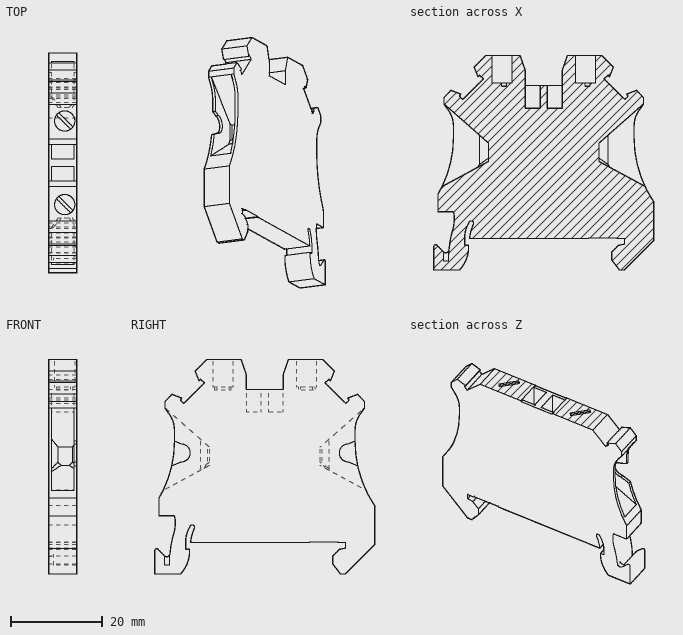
import cadquery as cq
import math

thickness = 6.15
height = 46.85
half_length = 24.0
base_z = 6.85

relief_inner_y = 9.75
relief_outer_y = 16.0
relief_depth = 0.15

tower_inner_y = 4.0
tower_bevel_y = 5.15
tower_bevel_z = 43.5
tower_outer_y = 12.65
saddle_z = 40.3

waist_y = 19.75
waist_low_z = 28.9
waist_high_z = 31.45
upper_radius = 6.0
upper_arc_top_z = 35.3
foot_shoulder_z = 14.95
hook_shoulder_y = 23.1
hook_shoulder_z = 16.6
hook_shoulder_base_z = 12.7

arm_root_y = 19.75
arm_root_z = 9.4
arm_foot_y = 20.85
hook_throat_start_z = 4.55
hook_throat_outer_y = 21.85
hook_throat_end_z = 4.0
hook_pocket_floor_z = 2.0
hook_wall = 1.05

wall = 0.65
funnel_x = 3.6
throat_y = 12.1
throat_half_width = 1.6
throat_low_z = 23.7
throat_high_z = 27.75
throat_chamfer = 0.7
flare_chamfer = 0.3
flare_length = 2.4
side_slope = 0.7
floor_slope = 0.54
roof_slope = 0.88

notch_z = 26.45
notch_y = 18.25
notch_radius = 1.95
notch_mouth_half = 2.6

screw_y = 9.1
screw_x = 3.5
screw_diameter = 4.4
screw_depth = 6.0
slot_width = 0.7
slot_depth = 0.7
slot_angle = -45

pocket_inner_y = 0.8
pocket_depth = 5.0


def arc_rise(radius, offset):
    """Distance an arc leaves its tangent line after running `offset` along it."""
    return radius - math.sqrt(radius**2 - offset**2)


def upper_outline(side, shoulder_y, shoulder_z):
    """Open outline from the base centre, over one tower, down to the end shoulder."""

    def at(y, z):
        return (side * y, z)

    upper_run = upper_arc_top_z - waist_high_z
    lower_rise = shoulder_y - waist_y
    lower_run = waist_low_z - shoulder_z
    lower_radius = (lower_rise**2 + lower_run**2) / (2 * lower_rise)
    return (
        cq.Workplane("YZ")
        .moveTo(0, base_z)
        .lineTo(0, saddle_z)
        .lineTo(*at(tower_inner_y, saddle_z))
        .lineTo(*at(tower_inner_y, tower_bevel_z))
        .lineTo(*at(tower_bevel_y, height))
        .lineTo(*at(tower_outer_y, height))
        .lineTo(*at(15.2, 44.3))
        .lineTo(*at(14.35, 42.15))
        .lineTo(*at(14.0, 42.5))
        .lineTo(*at(13.15, 41.75))
        .lineTo(*at(17.7, 37.25))
        .lineTo(*at(18.4, 37.95))
        .lineTo(*at(18.05, 38.4))
        .lineTo(*at(20.25, 39.25))
        .lineTo(*at(21.8, 37.65))
        .lineTo(*at(21.8, 36.3))
        .lineTo(*at(waist_y + arc_rise(upper_radius, upper_run), upper_arc_top_z))
        .threePointArc(
            at(waist_y + arc_rise(upper_radius, upper_run / 2), waist_high_z + upper_run / 2),
            at(waist_y, waist_high_z),
        )
        .lineTo(*at(waist_y, waist_low_z))
        .threePointArc(
            at(waist_y + arc_rise(lower_radius, lower_run / 2), waist_low_z - lower_run / 2),
            at(shoulder_y, shoulder_z),
        )
    )


def arm_face(z):
    """Point on the spring arm's outer face, an arc that turns vertical at the pocket floor."""
    rise = arm_foot_y - arm_root_y
    run = arm_root_z - hook_pocket_floor_z
    radius = (rise**2 + run**2) / (2 * rise)
    return (-arm_foot_y + arc_rise(radius, z - hook_pocket_floor_z), z)


def foot_half():
    """+Y half of the block, ending in the fixed foot that grips the rail."""
    return (
        upper_outline(1, half_length, foot_shoulder_z)
        .lineTo(half_length, 6.45)
        .lineTo(17.55, 0)
        .lineTo(16.5, 0)
        .lineTo(14.85, 2.2)
        .lineTo(14.85, 4.0)
        .lineTo(16.25, 5.4)
        .lineTo(17.55, 5.7)
        .lineTo(17.55, base_z)
        .lineTo(relief_outer_y, base_z)
        .lineTo(relief_outer_y, base_z + relief_depth)
        .lineTo(relief_inner_y, base_z + relief_depth)
        .lineTo(relief_inner_y, base_z)
        .close()
        .extrude(thickness)
    )


def hook_half():
    """-Y half of the block, ending in the sprung hook with its relief slot."""
    return (
        upper_outline(-1, hook_shoulder_y, hook_shoulder_z)
        .lineTo(-hook_shoulder_y, hook_shoulder_base_z)
        .lineTo(-waist_y, hook_shoulder_base_z)
        .threePointArc((-19.6, 12.0), (-19.55, 11.3))
        .threePointArc((-19.6, 10.3), (-arm_root_y, arm_root_z))
        .threePointArc(
            arm_face((arm_root_z + hook_pocket_floor_z) / 2), arm_face(hook_pocket_floor_z)
        )
        .lineTo(-hook_throat_outer_y, hook_pocket_floor_z)
        .lineTo(-hook_throat_outer_y, hook_throat_end_z)
        .lineTo(-23.25, 5.4)
        .threePointArc((-23.7, 5.55), (-half_length, 5.15))
        .lineTo(-half_length, 0)
        .lineTo(-18.4, 0)
        .threePointArc((-16.9, 2.3), (-16.35, 5.45))
        .lineTo(-17.25, 5.45)
        .lineTo(-17.25, base_z)
        .threePointArc((-17.0, 8.8), (-16.25, 10.4))
        .threePointArc((-15.7, 10.7), (-15.35, 10.1))
        .threePointArc((-15.9, 8.65), (-16.2, base_z))
        .close()
        .extrude(thickness)
    )


def hook_web():
    """Wall at -X that closes the hook's pocket and forms the rounded release groove."""
    return (
        cq.Workplane("YZ")
        .moveTo(-arm_root_y, hook_throat_start_z)
        .lineTo(*arm_face(hook_throat_start_z))
        .threePointArc((-21.2, 3.85), (-hook_throat_outer_y, hook_throat_end_z))
        .lineTo(-hook_throat_outer_y, hook_pocket_floor_z)
        .lineTo(-arm_root_y, hook_pocket_floor_z)
        .close()
        .extrude(hook_wall)
    )


def throat_section(side, distance, chamfer):
    """Funnel section with two chamfered lower corners, `distance` out from the throat."""
    half_width = throat_half_width + side_slope * distance
    left = funnel_x - half_width
    right = funnel_x + half_width
    low = throat_low_z - floor_slope * distance
    high = throat_high_z + roof_slope * distance
    y = side * (throat_y + distance)
    corners = [
        (left, high),
        (left, low + chamfer),
        (left + chamfer, low),
        (right - chamfer, low),
        (right, low + chamfer),
        (right, high),
    ]
    return cq.Wire.makePolygon([cq.Vector(x, y, z) for x, z in corners], close=True)


def wire_funnel(side):
    """Funnel cutter: a flared throat opening into a pocket between the two side walls."""
    throat = cq.Workplane(
        cq.Solid.makeLoft(
            [throat_section(side, 0, throat_chamfer), throat_section(side, flare_length, flare_chamfer)],
            True,
        )
    )
    flare_y = throat_y + flare_length
    mouth_length = half_length - throat_y
    mouth = (
        cq.Workplane("YZ")
        .polyline(
            [
                (side * flare_y, throat_low_z - floor_slope * flare_length),
                (side * half_length, throat_low_z - floor_slope * mouth_length),
                (side * half_length, throat_high_z + roof_slope * mouth_length),
                (side * flare_y, throat_high_z + roof_slope * flare_length),
            ]
        )
        .close()
        .extrude(thickness)
    )
    between_walls = (
        cq.Workplane("XY")
        .box(thickness - 2 * wall, 2 * half_length, height, centered=(False, True, False))
        .translate((wall, 0, 0))
    )
    return throat.union(mouth).intersect(between_walls)


def wall_notch(side):
    """Round-nosed notch cutter for the +X wall of one funnel."""
    slope = (notch_mouth_half - notch_radius) / (notch_y - waist_y)
    outer_half = notch_radius - slope * (half_length - notch_y)
    return (
        cq.Workplane("YZ", origin=(thickness - wall, 0, 0))
        .moveTo(side * half_length, notch_z + outer_half)
        .lineTo(side * notch_y, notch_z + notch_radius)
        .threePointArc(
            (side * (notch_y - notch_radius), notch_z), (side * notch_y, notch_z - notch_radius)
        )
        .lineTo(side * half_length, notch_z - outer_half)
        .close()
        .extrude(wall)
    )


def screw_well(side):
    """Well down to a screw head, with the driver slot across the head at 45 degrees."""
    head_z = height - screw_depth
    well = (
        cq.Workplane("XY", origin=(screw_x, side * screw_y, head_z))
        .circle(screw_diameter / 2)
        .extrude(screw_depth)
    )
    slot_blank = (
        cq.Workplane("XY")
        .box(screw_diameter, slot_width, slot_depth, centered=(True, True, False))
        .rotate((0, 0, 0), (0, 0, 1), slot_angle)
        .translate((screw_x, side * screw_y, head_z - slot_depth))
    )
    slot_limit = (
        cq.Workplane("XY", origin=(screw_x, side * screw_y, head_z - slot_depth))
        .circle(screw_diameter / 2)
        .extrude(slot_depth)
    )
    return well.union(slot_blank.intersect(slot_limit))


def saddle_pocket(side):
    """Rectangular pocket in the saddle floor, running against one tower."""
    length = tower_inner_y - pocket_inner_y
    return (
        cq.Workplane("XY")
        .box(thickness - 2 * wall, length, pocket_depth)
        .translate(
            (
                thickness / 2,
                side * (pocket_inner_y + length / 2),
                saddle_z - pocket_depth / 2,
            )
        )
    )


result = foot_half().union(hook_half()).union(hook_web())
for side in (-1, 1):
    for cutter in (wire_funnel, wall_notch, screw_well, saddle_pocket):
        result = result.cut(cutter(side))